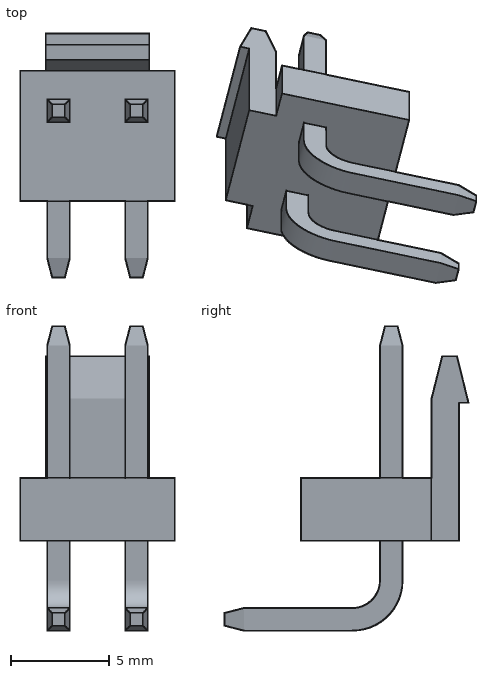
import cadquery as cq

PIN_COUNT = 2
PIN_PITCH = 3.96
PIN_SIZE = 1.16
PIN_TOP = 15.47
PIN_REACH = 8.48
BEND_INNER_RADIUS = 1.4
TIP_LENGTH = 0.99
TIP_SIZE = 0.65

BASE_WIDTH = 7.86
BASE_FRONT = -4.6
BASE_BACK = 2.04
BASE_BOTTOM = 4.56
BASE_HEIGHT = 3.2

LATCH_WIDTH = 5.26
LATCH_THICKNESS = 1.41
LATCH_TOP = 13.95
LATCH_TOP_FRONT = 2.58
LATCH_TOP_BACK = 3.34
HOOK_TIP = 3.93
HOOK_BOTTOM = 11.57
LATCH_SLOPE_START = 11.8

half_pin = PIN_SIZE / 2
bend_radius = BEND_INNER_RADIUS + half_pin
bend_z = half_pin + bend_radius


def bent_wire(x):
    """Square wire swept along its bent axis, without the tapered tips."""
    path = (
        cq.Workplane("YZ", origin=(x, 0, 0))
        .moveTo(0, PIN_TOP - TIP_LENGTH)
        .lineTo(0, bend_z)
        .radiusArc((-bend_radius, half_pin), bend_radius)
        .lineTo(-PIN_REACH + TIP_LENGTH, half_pin)
    )
    start = cq.Workplane("XY", origin=(x, 0, PIN_TOP - TIP_LENGTH))
    return start.rect(PIN_SIZE, PIN_SIZE).sweep(path)


def tapered_tip(plane):
    """Truncated pyramid that starts at the plane and points along its normal."""
    return (
        cq.Workplane(plane)
        .rect(PIN_SIZE, PIN_SIZE)
        .workplane(offset=TIP_LENGTH)
        .rect(TIP_SIZE, TIP_SIZE)
        .loft(ruled=True)
    )


def make_pin(x):
    top_plane = cq.Plane((x, 0, PIN_TOP - TIP_LENGTH), (1, 0, 0), (0, 0, 1))
    end_plane = cq.Plane((x, -PIN_REACH + TIP_LENGTH, half_pin), (1, 0, 0), (0, -1, 0))
    return bent_wire(x).union(tapered_tip(top_plane)).union(tapered_tip(end_plane))


def make_latch():
    """Wall with a hooked top, drawn in the YZ plane and centred on X = 0."""
    wall_back = BASE_BACK + LATCH_THICKNESS
    outline = [
        (BASE_BACK, BASE_BOTTOM),
        (BASE_BACK, LATCH_SLOPE_START),
        (LATCH_TOP_FRONT, LATCH_TOP),
        (LATCH_TOP_BACK, LATCH_TOP),
        (HOOK_TIP, HOOK_BOTTOM),
        (wall_back, HOOK_BOTTOM),
        (wall_back, BASE_BOTTOM),
    ]
    return cq.Workplane("YZ").polyline(outline).close().extrude(LATCH_WIDTH / 2, both=True)


def make_housing(pin_positions):
    """Block and latch wall in one piece, with a square hole for each pin."""
    base_depth = BASE_BACK - BASE_FRONT
    base_center_y = (BASE_BACK + BASE_FRONT) / 2
    base = cq.Workplane("XY", origin=(0, base_center_y, BASE_BOTTOM)).box(
        BASE_WIDTH, base_depth, BASE_HEIGHT, centered=(True, True, False)
    )
    pin_holes = (
        cq.Workplane("XY", origin=(0, 0, BASE_BOTTOM))
        .pushPoints([(x, 0) for x in pin_positions])
        .rect(PIN_SIZE, PIN_SIZE)
        .extrude(BASE_HEIGHT)
    )
    return base.union(make_latch()).cut(pin_holes)


pin_xs = [(i - (PIN_COUNT - 1) / 2) * PIN_PITCH for i in range(PIN_COUNT)]
housing = make_housing(pin_xs)
pins = [make_pin(x) for x in pin_xs]

result = cq.Compound.makeCompound([housing.val(), *[pin.val() for pin in pins]])